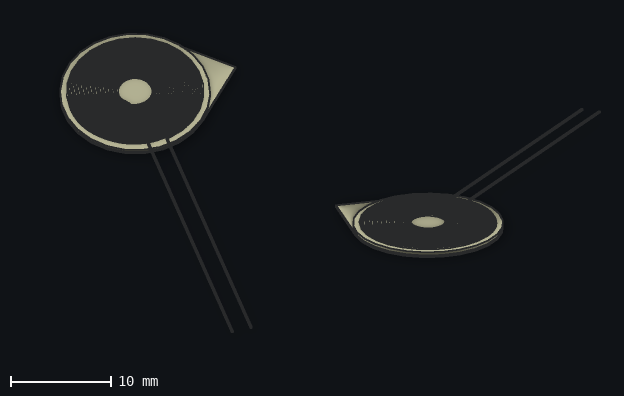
import cadquery as cq
import math

disc_diameter = 15.0
sheet_thickness = 0.2
ferrite_thickness = 0.34
coil_inner_diameter = 3.45
coil_outer_diameter = 13.7
turn_count = 30
wire_diameter = 0.17
tinned_diameter = 0.15
tinned_length = 5.0
overall_length = 40.0
lead_offset = 1.0
outer_bend_radius = 0.3
inner_rise_angle = 40.0
rise_point_count = 7
crossing_gap = 0.005

disc_radius = disc_diameter / 2
first_radius = (coil_inner_diameter + wire_diameter) / 2
last_radius = (coil_outer_diameter - wire_diameter) / 2
turn_pitch = (last_radius - first_radius) / (turn_count - 1)
ferrite_top = sheet_thickness + ferrite_thickness
coil_z = ferrite_top + wire_diameter / 2
crossing_z = coil_z + wire_diameter + crossing_gap
lead_end_x = overall_length - disc_radius
tinned_start_x = lead_end_x - tinned_length


def polar(radius, degrees, z):
    """Point at a radius and angle about the disc axis."""
    angle = math.radians(degrees)
    return cq.Vector(radius * math.cos(angle), radius * math.sin(angle), z)


def make_sheet():
    """Round adhesive sheet with a square pull tip tangent to its rim."""
    tangent = disc_radius / math.sqrt(2)
    return (
        cq.Workplane("XY")
        .moveTo(-tangent, tangent)
        .threePointArc((0, -disc_radius), (tangent, tangent))
        .lineTo(0, disc_radius * math.sqrt(2))
        .close()
        .extrude(sheet_thickness)
    )


def make_ferrite():
    """Plain disc between the sheet and the coil."""
    return cq.Workplane("XY", origin=(0, 0, sheet_thickness)).circle(disc_radius).extrude(ferrite_thickness)


def inner_lead_edges():
    """Lead that crosses over the turns and drops into the start of the innermost turn."""
    rise_end_angle = inner_rise_angle - 90
    rise_end = polar(first_radius, rise_end_angle, crossing_z)
    slope = math.radians(inner_rise_angle)

    bend_radius = (-lead_offset - rise_end.y) / (1 - math.cos(slope))
    bend_end = cq.Vector(rise_end.x + bend_radius * math.sin(slope), -lead_offset, crossing_z)
    bend_middle = cq.Vector(
        bend_end.x - bend_radius * math.sin(slope / 2),
        bend_end.y - bend_radius * (1 - math.cos(slope / 2)),
        crossing_z,
    )

    rise_points = []
    for index in range(rise_point_count):
        fraction = index / (rise_point_count - 1)
        height = (1 - math.cos(math.pi * fraction)) / 2 * (crossing_z - coil_z)
        rise_points.append(polar(first_radius, rise_end_angle - fraction * inner_rise_angle, crossing_z - height))

    heading_down = cq.Vector(-math.cos(slope), -math.sin(slope), 0)
    return [
        cq.Edge.makeLine(cq.Vector(tinned_start_x, -lead_offset, crossing_z), bend_end),
        cq.Edge.makeThreePointArc(bend_end, bend_middle, rise_end),
        cq.Edge.makeSpline(rise_points, tangents=[heading_down, cq.Vector(-1, 0, 0)]),
    ]


def step_edge(radius):
    """Smooth quarter curve from the +X end of one turn to the -Y start of the next larger turn."""
    start = cq.Vector(radius, 0, coil_z)
    end = cq.Vector(0, -(radius + turn_pitch), coil_z)
    diagonal = math.sqrt(0.5)
    middle = cq.Vector(start.x * diagonal, end.y * diagonal, coil_z)
    return cq.Edge.makeSpline([start, middle, end], tangents=[cq.Vector(0, -1, 0), cq.Vector(-1, 0, 0)])


def turn_edge(radius, end_angle):
    """Clockwise arc from -Y round to the given angle."""
    middle_angle = (270 + end_angle) / 2
    return cq.Edge.makeThreePointArc(
        polar(radius, 270, coil_z),
        polar(radius, middle_angle, coil_z),
        polar(radius, end_angle, coil_z),
    )


def outer_end_edges():
    """Last turn, its outward bend and the lead that lies level with the coil."""
    bend_y = lead_offset + outer_bend_radius
    bend_x = math.sqrt((last_radius + outer_bend_radius) ** 2 - bend_y**2)
    end_angle = math.degrees(math.atan2(bend_y, bend_x))
    turn_end = polar(last_radius, end_angle, coil_z)
    bend_end = cq.Vector(bend_x, lead_offset, coil_z)
    middle_angle = (180 + end_angle + 270) / 2
    bend_middle = cq.Vector(bend_x, bend_y, 0) + polar(outer_bend_radius, middle_angle, coil_z)
    return [
        turn_edge(last_radius, end_angle),
        cq.Edge.makeThreePointArc(turn_end, bend_middle, bend_end),
        cq.Edge.makeLine(bend_end, cq.Vector(tinned_start_x, lead_offset, coil_z)),
    ]


def make_coil():
    """One round wire: inner lead, flat spiral of turns and outer lead."""
    edges = inner_lead_edges()
    for turn in range(turn_count - 1):
        radius = first_radius + turn * turn_pitch
        edges.append(turn_edge(radius, 0))
        edges.append(step_edge(radius))
    edges += outer_end_edges()
    path = cq.Wire.assembleEdges(edges)
    start_plane = cq.Plane(origin=(tinned_start_x, -lead_offset, crossing_z), xDir=(0, 1, 0), normal=(-1, 0, 0))
    return cq.Workplane(start_plane).circle(wire_diameter / 2).sweep(cq.Workplane(path))


def make_tinned_end(y, z):
    """Bare solder-coated tip that continues a lead."""
    return cq.Workplane("YZ", origin=(tinned_start_x, y, z)).circle(tinned_diameter / 2).extrude(tinned_length)


sheet = make_sheet()
ferrite = make_ferrite()
coil = make_coil()
tinned_ends = [make_tinned_end(y, z) for y, z in [(-lead_offset, crossing_z), (lead_offset, coil_z)]]

result = cq.Compound.makeCompound([
    sheet.val(),
    ferrite.val(),
    coil.val(),
    *[tinned_end.val() for tinned_end in tinned_ends],
])